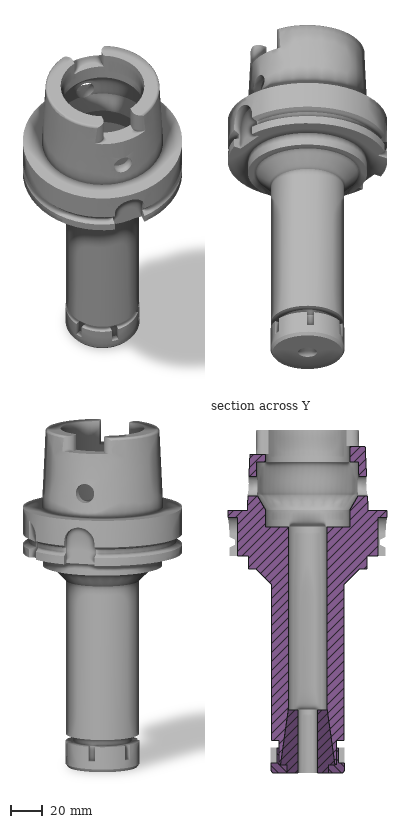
import cadquery as cq
import math

total_height = 215.0

shank_length = 49.9
shank_top_radius = 35.7
shank_base_radius = 38.0
shank_rim_fillet = 1.7
shank_bore_radius = 26.2
undercut_top_depth = 19.8
undercut_radius = 31.8
undercut_depth = 40.2
undercut_runout_angle = 30.0
bore_floor_depth = 60.2
cross_hole_radius = 6.0
cross_hole_depth = 35.0

keyway_half_width = 9.7
keyway_flare_radius = 5.0
keyway_outer_x = 32.2
keyway_depth_left = 9.9
keyway_depth_right = 14.8

flange_radius = 49.99
flange_height = 28.8
groove_radius = 46.5
groove_top_depth = 17.0
groove_bottom_depth = 23.6
groove_floor_height = 3.0
drive_slot_half_width = 9.9
drive_slot_floor_x = 44.0
drive_slot_top_depth = 4.7
notch_floor_x = 32.0
notch_center_y = 41.5

collar_radius = 37.5
collar_height = 8.4
cone_top_radius = 32.5
cone_height = 9.5
stem_radius = 23.0
stem_bottom = 20.6
nose_radius = 18.0

nut_radius = 23.2
nut_height = 16.1
nut_lip = 5.4
nut_chamfer_height = 2.0
nut_chamfer_width = 1.3
nut_slot_count = 6
nut_slot_width = 4.3
nut_slot_depth = 9.2
nut_slot_floor_radius = 19.4

collet_length = 40.0
collet_top_radius = 12.0
collet_taper_angle = 8.0
collet_nose_radius = 13.0
collet_bore_radius = 6.0

flange_top = total_height - shank_length
flange_bottom = flange_top - flange_height
groove_top = flange_top - groove_top_depth
groove_bottom = flange_top - groove_bottom_depth
groove_cone = (groove_top - groove_bottom - groove_floor_height) / 2
collar_bottom = flange_bottom - collar_height
stem_top = collar_bottom - cone_height
undercut_top = total_height - undercut_top_depth
undercut_bottom = total_height - undercut_depth
undercut_runout = (undercut_radius - shank_bore_radius) / math.tan(math.radians(undercut_runout_angle))
bore_floor = total_height - bore_floor_depth
collet_taper_height = collet_length - nut_lip
collet_mouth_radius = collet_top_radius + collet_taper_height * math.tan(math.radians(collet_taper_angle))


def revolve_profile(points):
    """Turn a closed (radius, height) outline around the Z axis."""
    return cq.Workplane("XZ").polyline(points).close().revolve(360, (0, 0), (0, 1))


def holder_blank():
    return revolve_profile([
        (0, nut_lip),
        (nose_radius, nut_lip),
        (nose_radius, stem_bottom),
        (stem_radius, stem_bottom),
        (stem_radius, stem_top),
        (cone_top_radius, collar_bottom),
        (collar_radius, collar_bottom),
        (collar_radius, flange_bottom),
        (flange_radius, flange_bottom),
        (flange_radius, groove_bottom),
        (groove_radius, groove_bottom + groove_cone),
        (groove_radius, groove_top - groove_cone),
        (flange_radius, groove_top),
        (flange_radius, flange_top),
        (shank_base_radius, flange_top),
        (shank_top_radius, total_height),
        (0, total_height),
    ]).faces(">Z").edges().fillet(shank_rim_fillet)


def holder_cavity():
    """Bores through the holder: shank bore with its clamping undercut, clearance hole, collet cone."""
    return revolve_profile([
        (0, nut_lip),
        (collet_mouth_radius, nut_lip),
        (collet_top_radius, collet_length),
        (collet_top_radius, bore_floor),
        (shank_bore_radius, bore_floor),
        (shank_bore_radius, undercut_bottom - undercut_runout),
        (undercut_radius, undercut_bottom),
        (undercut_radius, undercut_top),
        (shank_bore_radius, undercut_top),
        (shank_bore_radius, total_height),
        (0, total_height),
    ])


def keyway_cutter(depth):
    """Keyway on the +X side whose mouth flares outward with a rounded corner on each wall."""
    flare_start_x = keyway_outer_x - keyway_flare_radius
    flare_end_y = keyway_half_width + keyway_flare_radius
    arc_offset = keyway_flare_radius * math.sqrt(0.5)
    arc_mid_x = flare_start_x + arc_offset
    arc_mid_y = flare_end_y - arc_offset
    return (
        cq.Workplane("XY")
        .workplane(offset=total_height - depth)
        .moveTo(0, -keyway_half_width)
        .lineTo(flare_start_x, -keyway_half_width)
        .threePointArc((arc_mid_x, -arc_mid_y), (keyway_outer_x, -flare_end_y))
        .lineTo(keyway_outer_x, -flange_radius)
        .lineTo(flange_radius, -flange_radius)
        .lineTo(flange_radius, flange_radius)
        .lineTo(keyway_outer_x, flange_radius)
        .lineTo(keyway_outer_x, flare_end_y)
        .threePointArc((arc_mid_x, arc_mid_y), (flare_start_x, keyway_half_width))
        .lineTo(0, keyway_half_width)
        .close()
        .extrude(depth)
    )


def flange_slot_cutter(center_y, floor_x):
    """Round-topped slot on the +X side of the flange, open at the flange's lower face."""
    arc_center = flange_top - drive_slot_top_depth - drive_slot_half_width
    return (
        cq.Workplane("YZ")
        .workplane(offset=floor_x)
        .moveTo(center_y - drive_slot_half_width, flange_bottom)
        .lineTo(center_y - drive_slot_half_width, arc_center)
        .threePointArc(
            (center_y, arc_center + drive_slot_half_width),
            (center_y + drive_slot_half_width, arc_center),
        )
        .lineTo(center_y + drive_slot_half_width, flange_bottom)
        .close()
        .extrude(flange_radius - floor_x)
    )


def make_holder():
    cross_hole = (
        cq.Workplane("YZ")
        .center(0, total_height - cross_hole_depth)
        .circle(cross_hole_radius)
        .extrude(flange_radius, both=True)
    )
    drive_slot = flange_slot_cutter(0, drive_slot_floor_x)
    orientation_notch = flange_slot_cutter(notch_center_y, notch_floor_x).mirror("YZ")
    return (
        holder_blank()
        .cut(holder_cavity())
        .cut(cross_hole)
        .cut(keyway_cutter(keyway_depth_right))
        .cut(keyway_cutter(keyway_depth_left).mirror("YZ"))
        .cut(drive_slot)
        .cut(drive_slot.mirror("YZ"))
        .cut(orientation_notch)
    )


def make_nut():
    nut = revolve_profile([
        (collet_nose_radius, 0),
        (nut_radius - nut_chamfer_width, 0),
        (nut_radius, nut_chamfer_height),
        (nut_radius, nut_height),
        (nose_radius, nut_height),
        (nose_radius, nut_lip),
        (collet_nose_radius, nut_lip),
    ])
    slot_length = nut_radius - nut_slot_floor_radius
    slot = cq.Workplane("XY").box(
        slot_length, nut_slot_width, nut_slot_depth, centered=(False, True, False)
    ).translate((nut_slot_floor_radius, 0, nut_height - nut_slot_depth))
    for index in range(nut_slot_count):
        nut = nut.cut(slot.rotate((0, 0, 0), (0, 0, 1), index * 360 / nut_slot_count))
    return nut


def make_collet():
    return revolve_profile([
        (collet_bore_radius, 0),
        (collet_nose_radius, 0),
        (collet_nose_radius, nut_lip),
        (collet_mouth_radius, nut_lip),
        (collet_top_radius, collet_length),
        (collet_bore_radius, collet_length),
    ])


holder = make_holder()
nut = make_nut()
collet = make_collet()

result = cq.Compound.makeCompound([holder.val(), nut.val(), collet.val()])